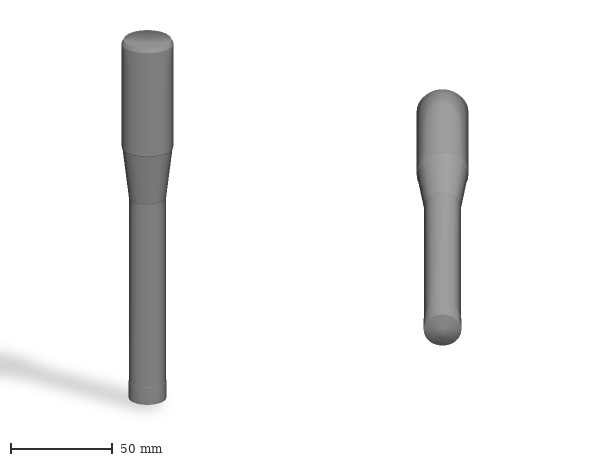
import cadquery as cq
import math

total_length = 194.72
handle_diameter = 25.4
shank_diameter = 18.0
tip_diameter = 18.5
point_angle = 140.0
tip_land_length = 9.3
shank_top_height = 110.2
handle_bottom_height = 137.6
taper_top_diameter = 24.8
taper_bottom_diameter = 18.4
taper_bevel_height = 0.5
top_chamfer_width = 1.0
top_chamfer_height = 2.0

handle_radius = handle_diameter / 2
shank_radius = shank_diameter / 2
tip_radius = tip_diameter / 2
point_height = tip_radius / math.tan(math.radians(point_angle / 2))
tip_top_height = point_height + tip_land_length
taper_bottom_height = shank_top_height + taper_bevel_height
taper_top_height = handle_bottom_height - taper_bevel_height
chamfer_start_height = total_length - top_chamfer_height


def revolve_about_z(profile_points):
    """Turn a half profile of (radius, height) points into a round solid about Z."""
    profile = cq.Workplane("XZ").polyline(profile_points).close()
    return profile.revolve(360, (0, 0, 0), (0, 1, 0))


def make_tip():
    """Cutting tip: conical drill point below a short cylindrical land."""
    return revolve_about_z([
        (0, 0),
        (tip_radius, point_height),
        (tip_radius, tip_top_height),
        (0, tip_top_height),
    ])


def make_holder():
    """Holder: slim shank, taper with a small bevel at each end, and thick chamfered handle."""
    return revolve_about_z([
        (0, tip_top_height),
        (shank_radius, tip_top_height),
        (shank_radius, shank_top_height),
        (taper_bottom_diameter / 2, taper_bottom_height),
        (taper_top_diameter / 2, taper_top_height),
        (handle_radius, handle_bottom_height),
        (handle_radius, chamfer_start_height),
        (handle_radius - top_chamfer_width, total_length),
        (0, total_length),
    ])


tip = make_tip()
holder = make_holder()

result = cq.Compound.makeCompound([tip.val(), holder.val()])